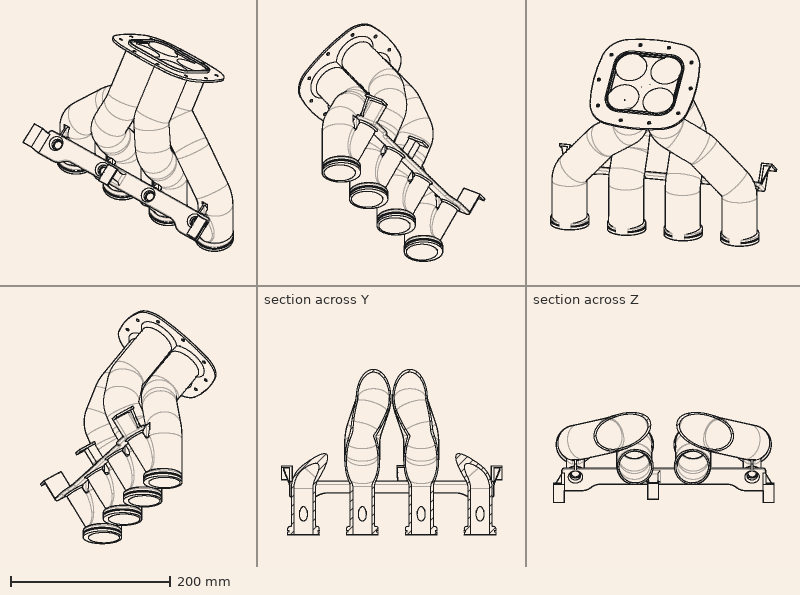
import cadquery as cq
import math


PORT_PITCH = 74.0
TUBE_RADIUS = 22.2
BORE_RADIUS = 19.7
TUBE_OFFSET_Y = 2.2
BEND_RADIUS = 26.0
SHARP_BEND_RADIUS = 23.0
FIRST_BEND_HEIGHT = 68.5
OUTER_ELBOW = (64.8, 12.5, 119.7)
INNER_KINK_YZ = (-17.7, 99.2)
INNER_ELBOW_YZ = (-30.0, 125.2)
OUTER_TURN_DEPTH = 64.0
INNER_TURN_DEPTH = 76.2

FLANGE_RADIUS = 24.25
FLANGE_HEIGHT = 10.8
FLANGE_ROUNDING = 2.8
GROOVE_BOTTOM = 3.75
GROOVE_WIDTH = 1.5
GROOVE_DEPTH = 1.5

PLATE_TILT = 37.0
PLATE_CENTRE = (0, 47.0, 213.8)
PLATE_HALF_WIDTH = 66.8
PLATE_SIDE_RADIUS = 194.0
PLATE_CORNER_RADIUS = 34.3
PLATE_THICKNESS = 2.8
PLATE_TUBE_PITCH = 45.7
COLLAR_HEIGHT = 5.0
LIP_SIZE = 90.3
LIP_HEIGHT = 2.8
LIP_CORNER_RADIUS = 20.2
LIP_WIDTH = 2.0
LEDGE_WIDTH = 2.0
LEDGE_DEPTH = 2.0
RECESS_DEPTH = 4.0
SCREW_HOLE_DIAMETER = 4.0
SCREW_QUADRANT = [(59.8, 0), (52.4, 38.5), (18.5, 57.0)]

RAIL_TILT = 33.5
RAIL_TOP = 73.7
RAIL_THICKNESS = 4.5
RAIL_EDGE_UPPER = 12.2
RAIL_EDGE_LOWER = -11.5
RAIL_EDGE_EAR = -21.3
RAIL_HALF_LENGTH = 128.3
RAIL_CORNER_RADIUS = 4.2
RAIL_EAR_CORNER_RADIUS = 2.5
RAIL_BOTTOM_ROUNDING = 2.8
RAIL_TOP_ROUNDING = 1.0
EAR_START = 102.8
EAR_END = 79.5

BOSS_RADIUS = 11.4
BOSS_START = 12.5
BOSS_ROOT_FILLET = 2.8
BOSS_FOOT_FLARE = 2.2
SEAT_RADIUS = 9.1
SEAT_DEPTH = 3.3
SOCKET_RADIUS = 6.6
SOCKET_DEPTH = 7.8
NOZZLE_RADIUS = 5.0

TAB_TOP = 99.7
TAB_THICKNESS = 2.8
TAB_OUTER_X = 138.5
TAB_EDGE_UPPER = 6.0
WALL_THICKNESS = 3.3
GUSSET_WIDTH = 3.3
GUSSET_REACH = 7.8
GUSSET_INSET = 1.0
BRACKET_FILLET = 1.7
POST_X = -13.3
CAP_WIDTH = 13.8
CAP_EDGE_UPPER = 7.5
CAP_EDGE_LOWER = -16.5
POST_WIDTH = 11.5
POST_EDGE_UPPER = 6.6
POST_EDGE_LOWER = -4.7
POST_FOOT_FILLET = 3.3

WEB_THICKNESS = 2.2
WEB_REACH = 13.8
WEB_BOTTOM_Z = 57.5
OUTER_WEB_ROOT_Y = -19.0
INNER_WEB_ROOT_Y = -25.5
WEB_ROOT_RADIUS = 3.3

TOLERANCE = 0.03

PORT_XS = [(i - 1.5) * PORT_PITCH for i in range(4)]

plate_angle = math.radians(PLATE_TILT)
plate_plane = cq.Plane(
    origin=PLATE_CENTRE,
    xDir=(1, 0, 0),
    normal=(0, math.sin(plate_angle), math.cos(plate_angle)),
)

rail_angle = math.radians(RAIL_TILT)
rail_plane = cq.Plane(
    origin=(0, 0, 0),
    xDir=(1, 0, 0),
    normal=(0, -math.sin(rail_angle), math.cos(rail_angle)),
)


def plate_level(height):
    """Workplane parallel to the throttle plate, measured from its upper face."""
    return cq.Workplane(plate_plane).workplane(offset=height)


def rail_level(height):
    """Workplane parallel to the rail, measured along the boss axes."""
    return cq.Workplane(rail_plane).workplane(offset=height)


def rail_block(x_start, x_end, y_start, y_end, bottom, top):
    """Box in rail coordinates."""
    return (
        rail_level(bottom)
        .center((x_start + x_end) / 2, (y_start + y_end) / 2)
        .rect(abs(x_end - x_start), abs(y_end - y_start))
        .extrude(top - bottom)
    )


def runner_path(x):
    """Centreline of the runner that starts at port position x, ending on the throttle ledge."""
    side = math.copysign(1, x)
    plate_x = side * PLATE_TUBE_PITCH / 2
    if abs(x) > PORT_PITCH:
        elbows = [(side * OUTER_ELBOW[0], OUTER_ELBOW[1], OUTER_ELBOW[2])]
        plate_y = PLATE_TUBE_PITCH / 2
        turn_depth = OUTER_TURN_DEPTH
    else:
        elbows = [(x, *INNER_KINK_YZ), (x, *INNER_ELBOW_YZ)]
        plate_y = -PLATE_TUBE_PITCH / 2
        turn_depth = INNER_TURN_DEPTH
    points = [
        (x, TUBE_OFFSET_Y, 0),
        (x, TUBE_OFFSET_Y, FIRST_BEND_HEIGHT),
        *elbows,
        plate_plane.toWorldCoords((plate_x, plate_y, -turn_depth)),
        plate_plane.toWorldCoords((plate_x, plate_y, LIP_HEIGHT - LEDGE_DEPTH)),
    ]
    corners = [cq.Vector(point) for point in points]
    polygon = cq.Wire.makePolygon(corners)
    bends = polygon.Vertices()[1:-1]
    bends.pop(2)
    sharp_corner = corners[3]
    path = polygon.fillet(BEND_RADIUS, bends)
    sharp_bend = min(path.Vertices(), key=lambda vertex: (vertex.Center() - sharp_corner).Length)
    return path.fillet(SHARP_BEND_RADIUS, [sharp_bend])


def runner(x, radius):
    start = cq.Workplane("XY", origin=(x, TUBE_OFFSET_Y, 0))
    return start.circle(radius).sweep(cq.Workplane(runner_path(x)))


def port_flange(x):
    flange = (
        cq.Workplane("XY", origin=(x, 0, 0))
        .circle(FLANGE_RADIUS)
        .extrude(FLANGE_HEIGHT)
        .faces(">Z")
        .edges()
        .fillet(FLANGE_ROUNDING)
    )
    groove = (
        cq.Workplane("XY", origin=(x, 0, GROOVE_BOTTOM))
        .circle(FLANGE_RADIUS)
        .circle(FLANGE_RADIUS - GROOVE_DEPTH)
        .extrude(GROOVE_WIDTH)
    )
    return flange.cut(groove)


def plate_outline():
    """Square with bulging sides and tangent corner arcs."""
    side_centre = PLATE_SIDE_RADIUS - PLATE_HALF_WIDTH
    reach = PLATE_SIDE_RADIUS - PLATE_CORNER_RADIUS
    corner_centre = (math.sqrt(2 * reach**2 - side_centre**2) - side_centre) / 2
    near = corner_centre * PLATE_SIDE_RADIUS / reach
    far = (corner_centre + side_centre) * PLATE_SIDE_RADIUS / reach - side_centre
    corner = corner_centre + PLATE_CORNER_RADIUS / math.sqrt(2)
    half = PLATE_HALF_WIDTH
    return (
        plate_level(0)
        .moveTo(-near, far)
        .threePointArc((0, half), (near, far))
        .threePointArc((corner, corner), (far, near))
        .threePointArc((half, 0), (far, -near))
        .threePointArc((corner, -corner), (near, -far))
        .threePointArc((0, -half), (-near, -far))
        .threePointArc((-corner, -corner), (-far, -near))
        .threePointArc((-half, 0), (-far, near))
        .threePointArc((-corner, corner), (-near, far))
        .close()
    )


def rounded_square(inset, top, bottom):
    size = LIP_SIZE - 2 * inset
    block = plate_level(bottom).rect(size, size).extrude(top - bottom)
    along_normal = cq.selectors.ParallelDirSelector(plate_plane.zDir)
    return block.edges(along_normal).fillet(LIP_CORNER_RADIUS - inset)


def throttle_plate():
    plate = plate_outline().extrude(-PLATE_THICKNESS)
    plate = plate.union(rounded_square(0, LIP_HEIGHT, -PLATE_THICKNESS / 2))
    for sx in (-1, 1):
        for sy in (-1, 1):
            collar = (
                plate_level(-PLATE_THICKNESS)
                .center(sx * PLATE_TUBE_PITCH / 2, sy * PLATE_TUBE_PITCH / 2)
                .circle(TUBE_RADIUS + COLLAR_HEIGHT)
                .extrude(-COLLAR_HEIGHT, taper=45)
            )
            plate = plate.union(collar)
    return plate


def throttle_opening():
    """Stepped recess inside the lip."""
    ledge = rounded_square(LIP_WIDTH, LIP_HEIGHT, LIP_HEIGHT - LEDGE_DEPTH)
    recess = rounded_square(LIP_WIDTH + LEDGE_WIDTH, LIP_HEIGHT, LIP_HEIGHT - RECESS_DEPTH)
    return ledge.union(recess)


def screw_holes():
    points = {(sx * x, sy * y) for x, y in SCREW_QUADRANT for sx in (-1, 1) for sy in (-1, 1)}
    return (
        plate_level(0)
        .pushPoints(sorted(points))
        .circle(SCREW_HOLE_DIAMETER / 2)
        .extrude(-PLATE_THICKNESS)
    )


def rail_plate():
    middle_x = (EAR_START + EAR_END) / 2
    middle_y = (RAIL_EDGE_EAR + RAIL_EDGE_LOWER) / 2
    half = (
        rail_level(RAIL_TOP)
        .moveTo(0, RAIL_EDGE_UPPER)
        .lineTo(RAIL_HALF_LENGTH - RAIL_CORNER_RADIUS, RAIL_EDGE_UPPER)
        .tangentArcPoint((RAIL_HALF_LENGTH, RAIL_EDGE_UPPER - RAIL_CORNER_RADIUS), relative=False)
        .lineTo(RAIL_HALF_LENGTH, RAIL_EDGE_EAR + RAIL_EAR_CORNER_RADIUS)
        .tangentArcPoint((RAIL_HALF_LENGTH - RAIL_EAR_CORNER_RADIUS, RAIL_EDGE_EAR), relative=False)
        .lineTo(EAR_START, RAIL_EDGE_EAR)
        .tangentArcPoint((middle_x, middle_y), relative=False)
        .tangentArcPoint((EAR_END, RAIL_EDGE_LOWER), relative=False)
        .lineTo(0, RAIL_EDGE_LOWER)
        .close()
        .extrude(-RAIL_THICKNESS)
    )
    plate = half.union(half.mirror("YZ"))
    lower_face = cq.selectors.DirectionMinMaxSelector(rail_plane.zDir, False)
    upper_face = cq.selectors.DirectionMinMaxSelector(rail_plane.zDir, True)
    plate = plate.faces(lower_face).edges().fillet(RAIL_BOTTOM_ROUNDING)
    return plate.faces(upper_face).edges().fillet(RAIL_TOP_ROUNDING)


def boss(x):
    """Injector boss, blended into the straight lower stretch of its runner."""
    foot = RAIL_TOP - RAIL_THICKNESS
    cylinder = rail_level(BOSS_START).center(x, 0).circle(BOSS_RADIUS).extrude(foot - BOSS_START)
    tube = cq.Workplane("XY", origin=(x, TUBE_OFFSET_Y, 0)).circle(TUBE_RADIUS).extrude(WEB_BOTTOM_Z)
    blended = tube.union(cylinder)
    root = blended.edges("not %CIRCLE").edges("not %LINE")
    blended = root.fillet(BOSS_ROOT_FILLET)
    flare = (
        rail_level(foot)
        .center(x, 0)
        .circle(BOSS_RADIUS + BOSS_FOOT_FLARE)
        .extrude(-BOSS_FOOT_FLARE, taper=45)
    )
    return blended.union(flare)


def injector_hole(x):
    seat_taper = math.degrees(math.atan((SEAT_RADIUS - SOCKET_RADIUS) / SEAT_DEPTH))
    seat = rail_level(RAIL_TOP).center(x, 0).circle(SEAT_RADIUS).extrude(-SEAT_DEPTH, taper=seat_taper)
    socket = rail_level(RAIL_TOP).center(x, 0).circle(SOCKET_RADIUS).extrude(-SOCKET_DEPTH)
    nozzle = rail_level(BOSS_START).center(x, 0).circle(NOZZLE_RADIUS).extrude(RAIL_TOP - BOSS_START)
    return seat.union(socket).union(nozzle)


def web(x):
    """Thin wall with a flared root that ties the rail and boss to the runner behind them."""
    edge = rail_plane.toWorldCoords((0, RAIL_EDGE_UPPER - RAIL_BOTTOM_ROUNDING, RAIL_TOP))
    inner = rail_plane.toWorldCoords((0, RAIL_EDGE_UPPER + WEB_REACH, RAIL_TOP))
    root_y = OUTER_WEB_ROOT_Y if abs(x) > PORT_PITCH else INNER_WEB_ROOT_Y
    half = WEB_THICKNESS / 2
    flare = half + WEB_ROOT_RADIUS
    side_profile = (
        cq.Workplane("YZ", origin=(x - flare, 0, 0))
        .moveTo(inner.y, inner.z)
        .lineTo(edge.y, edge.z)
        .lineTo(edge.y, WEB_BOTTOM_Z)
        .lineTo(inner.y, WEB_BOTTOM_Z)
        .close()
        .extrude(2 * flare)
    )
    plan_profile = (
        cq.Workplane("XY", origin=(x, 0, WEB_BOTTOM_Z))
        .moveTo(-half, edge.y)
        .lineTo(half, edge.y)
        .lineTo(half, root_y - WEB_ROOT_RADIUS)
        .radiusArc((flare, root_y), WEB_ROOT_RADIUS)
        .lineTo(flare, inner.y)
        .lineTo(-flare, inner.y)
        .lineTo(-flare, root_y)
        .radiusArc((-half, root_y - WEB_ROOT_RADIUS), WEB_ROOT_RADIUS)
        .close()
        .extrude(inner.z - WEB_BOTTOM_Z)
    )
    return side_profile.intersect(plan_profile)


def end_bracket():
    """Wall at the +X end of the rail with an outward tab and a gusset below the tab."""
    wall_inner_x = RAIL_HALF_LENGTH - WALL_THICKNESS
    tab_bottom = TAB_TOP - TAB_THICKNESS
    rounded_corner = cq.selectors.NearestToPointSelector(
        rail_plane.toWorldCoords((RAIL_HALF_LENGTH, RAIL_EDGE_EAR, RAIL_TOP)).toTuple()
    )
    foot = RAIL_TOP - RAIL_TOP_ROUNDING
    wall = rail_block(wall_inner_x, RAIL_HALF_LENGTH, RAIL_EDGE_EAR, TAB_EDGE_UPPER, foot, tab_bottom)
    along_wall = cq.selectors.ParallelDirSelector(rail_plane.zDir)
    wall = wall.edges(along_wall).edges(rounded_corner).fillet(RAIL_EAR_CORNER_RADIUS)
    tab = rail_block(wall_inner_x, TAB_OUTER_X, RAIL_EDGE_EAR, TAB_EDGE_UPPER, tab_bottom, TAB_TOP)
    gusset_y = TAB_EDGE_UPPER - GUSSET_INSET
    gusset_plane = cq.Plane(
        origin=rail_plane.toWorldCoords((0, gusset_y, 0)),
        xDir=(1, 0, 0),
        normal=-rail_plane.yDir,
    )
    gusset = (
        cq.Workplane(gusset_plane)
        .moveTo(RAIL_HALF_LENGTH, tab_bottom)
        .lineTo(RAIL_HALF_LENGTH + GUSSET_REACH, tab_bottom)
        .lineTo(RAIL_HALF_LENGTH, RAIL_TOP)
        .close()
        .extrude(GUSSET_WIDTH)
    )
    bracket = wall.union(tab).union(gusset)

    def is_inner_corner(edge):
        place = rail_plane.toLocalCoords(edge.Center())
        beside_gusset = abs(place.y - gusset_y + GUSSET_WIDTH) < TOLERANCE
        on_wall = abs(place.x - RAIL_HALF_LENGTH) < TOLERANCE
        under_tab = abs(place.z - tab_bottom) < TOLERANCE
        return beside_gusset and (on_wall or under_tab)

    return bracket.edges().filter(is_inner_corner).fillet(BRACKET_FILLET)


def with_middle_bracket(rail):
    """Adds a capped post that stands on the rail with a filleted foot."""
    half_cap = CAP_WIDTH / 2
    half_post = POST_WIDTH / 2
    cap_bottom = TAB_TOP - TAB_THICKNESS
    left = POST_X - half_post
    right = POST_X + half_post
    post = rail_block(left, right, POST_EDGE_LOWER, POST_EDGE_UPPER, RAIL_TOP, cap_bottom)
    cap = rail_block(
        POST_X - half_cap, POST_X + half_cap, CAP_EDGE_LOWER, CAP_EDGE_UPPER, cap_bottom, TAB_TOP
    )

    def is_post_foot(edge):
        place = rail_plane.toLocalCoords(edge.Center())
        beside_post = left - TOLERANCE < place.x < right + TOLERANCE
        within_post = POST_EDGE_LOWER - TOLERANCE < place.y < POST_EDGE_UPPER + TOLERANCE
        return beside_post and within_post and abs(place.z - RAIL_TOP) < TOLERANCE

    standing = rail.union(post).edges().filter(is_post_foot).fillet(POST_FOOT_FILLET)
    return standing.union(cap)


body = throttle_plate()
for port_x in PORT_XS:
    body = body.union(runner(port_x, TUBE_RADIUS))
    body = body.union(port_flange(port_x))
    body = body.union(boss(port_x))
    body = body.union(web(port_x))

bracket = end_bracket()
rail = with_middle_bracket(rail_plate()).union(bracket).union(bracket.mirror("YZ"))
body = body.union(rail)

body = body.cut(throttle_opening()).cut(screw_holes())
for port_x in PORT_XS:
    body = body.cut(runner(port_x, BORE_RADIUS))
    body = body.cut(injector_hole(port_x))

result = body